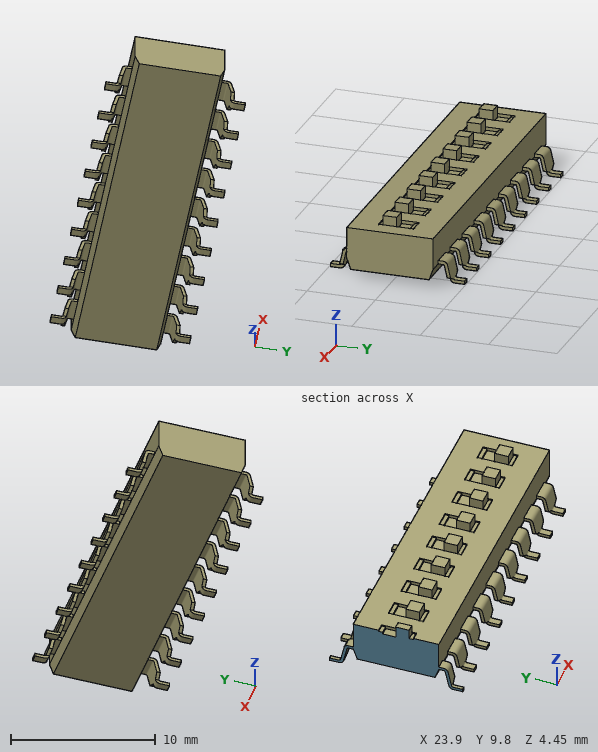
import cadquery as cq
import math

body_length = 23.9
body_width = 6.3
body_height = 3.1
standoff = 0.7
skirt_height = 0.8
skirt_inset = 0.29
body_top = standoff + body_height

switch_count = 9
pitch = 2.54
row_offset = -0.08
switch_xs = [row_offset + (i - (switch_count - 1) / 2) * pitch for i in range(switch_count)]

slot_width = 1.2
slot_length = 2.55
slot_depth = 0.25
ledge_length = 0.3
ledge_depth = 0.1
slider_size = 1.0
slider_height = 0.65
slider_y = -slot_length / 2 + ledge_length + slider_size / 2

lead_span = 9.8
lead_thickness = 0.25
lead_width = 1.53
foot_width = 0.52
shoulder_top = 1.75
taper_start = 0.55
taper_end = 0.3
lead_embed = 0.3
inner_radius = 0.1
outer_radius = inner_radius + lead_thickness
upper_bend = (3.5, shoulder_top - outer_radius)
lower_bend = (4.2, outer_radius)


def make_body():
    half = body_width / 2
    skirt_top = standoff + skirt_height
    return (
        cq.Workplane("YZ")
        .moveTo(-half + skirt_inset, standoff)
        .lineTo(half - skirt_inset, standoff)
        .lineTo(half, skirt_top)
        .lineTo(half, body_top)
        .lineTo(-half, body_top)
        .lineTo(-half, skirt_top)
        .close()
        .extrude(body_length / 2, both=True)
    )


def top_pocket(x, length, depth):
    """Box that cuts a pocket of the given depth into the housing top."""
    return (
        cq.Workplane("XY")
        .box(slot_width, length, depth, centered=(True, True, False))
        .translate((x, 0, body_top - depth))
    )


def make_slot(x):
    deep_length = slot_length - 2 * ledge_length
    return top_pocket(x, deep_length, slot_depth).union(top_pocket(x, slot_length, ledge_depth))


def make_slider(x):
    return (
        cq.Workplane("XY")
        .box(slider_size, slider_size, slot_depth + slider_height, centered=(True, True, False))
        .translate((x, slider_y, body_top - slot_depth))
    )


def on_arc(center, radius, angle):
    return (center[0] + radius * math.cos(angle), center[1] + radius * math.sin(angle))


def make_lead_strip():
    """Full-width bent strip on the +Y side, centred on x = 0."""
    run = lower_bend[0] - upper_bend[0]
    drop = upper_bend[1] - lower_bend[1]
    lean = math.atan2(run, drop) - math.asin((inner_radius + outer_radius) / math.hypot(run, drop))
    upper_mid = (lean + math.pi / 2) / 2
    lower_mid = upper_mid + math.pi
    lower_end = lean + math.pi
    inner_end = body_width / 2 - lead_embed
    return (
        cq.Workplane("YZ")
        .moveTo(inner_end, shoulder_top)
        .lineTo(upper_bend[0], shoulder_top)
        .threePointArc(on_arc(upper_bend, outer_radius, upper_mid), on_arc(upper_bend, outer_radius, lean))
        .lineTo(*on_arc(lower_bend, inner_radius, lower_end))
        .threePointArc(
            on_arc(lower_bend, inner_radius, lower_mid), (lower_bend[0], lower_bend[1] - inner_radius)
        )
        .lineTo(lead_span / 2, lead_thickness)
        .lineTo(lead_span / 2, 0)
        .lineTo(lower_bend[0], 0)
        .threePointArc(
            on_arc(lower_bend, outer_radius, lower_mid), on_arc(lower_bend, outer_radius, lower_end)
        )
        .lineTo(*on_arc(upper_bend, inner_radius, lean))
        .threePointArc(
            on_arc(upper_bend, inner_radius, upper_mid), (upper_bend[0], upper_bend[1] + inner_radius)
        )
        .lineTo(inner_end, shoulder_top - lead_thickness)
        .close()
        .extrude(lead_width / 2, both=True)
    )


def make_lead():
    """Bent strip narrowed to the foot width near the seating plane."""
    wide = lead_width / 2
    narrow = foot_width / 2
    outline = (
        cq.Workplane("XZ")
        .polyline([
            (-narrow, 0),
            (narrow, 0),
            (narrow, taper_end),
            (wide, taper_start),
            (wide, shoulder_top),
            (-wide, shoulder_top),
            (-wide, taper_start),
            (-narrow, taper_end),
        ])
        .close()
        .extrude(lead_span / 2, both=True)
    )
    return make_lead_strip().intersect(outline)


lead = make_lead()
opposite_lead = lead.mirror("XZ")

result = make_body()
for switch_x in switch_xs:
    result = result.cut(make_slot(switch_x))
    result = result.union(make_slider(switch_x))
    result = result.union(lead.translate((switch_x, 0, 0)))
    result = result.union(opposite_lead.translate((switch_x, 0, 0)))